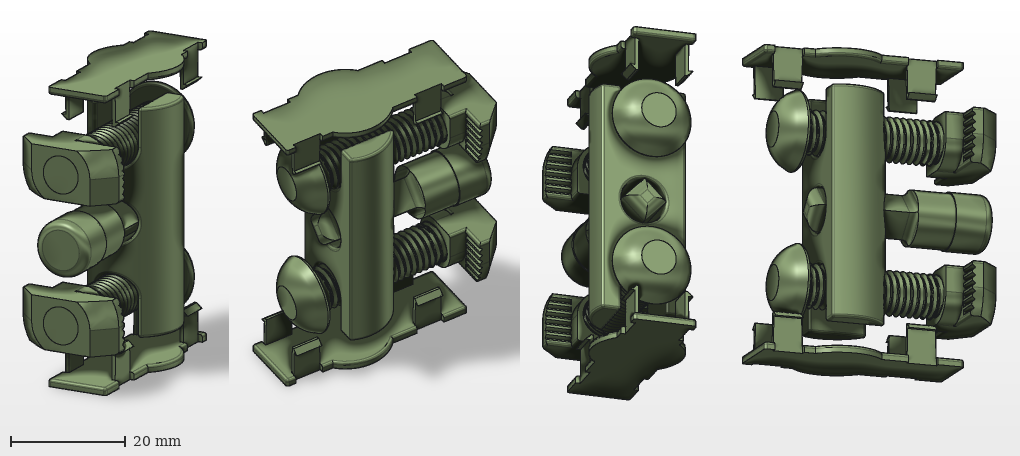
import cadquery as cq
import math


TOTAL_HEIGHT = 54.8
SCREW_OFFSET = 13.8
FRONT_Y = -27.45
EDGE_RADIUS = 0.5

BARREL_RADIUS = 8.45
BARREL_HEIGHT = 42.05
BARREL_BACK_Y = 3.7
CROSS_HOLE_RADIUS = 4.1

CAP_THICKNESS = 1.35
CAP_WIDTH = 11.5
CAP_FRONT_Y = -21.55
CAP_BACK_Y = 15.6
TAB_CENTERS_Y = (-13.9, 11.0)
TAB_WIDTH = 5.5
TAB_TIP_WIDTH = 5.15
TAB_OUTER_X = 4.95
TAB_THICKNESS = 0.65
TAB_LENGTH = 7.2
BARB_HEIGHT = 0.95
BARB_TIP_X = 5.75
BARB_END_X = 4.7

THREAD_RADIUS = 4.0
THREAD_ROOT_RADIUS = 3.35
THREAD_PITCH = 2 * THREAD_RADIUS * 1.25 / 8
THREAD_PHASE = 180.0
SCREW_TIP_RADIUS = 3.45
HEAD_SEAT_Y = 7.4
HEAD_TOP_Y = 12.05
HEAD_RADIUS = 7.25
HEAD_TOP_RADIUS = 3.2
HEAD_RIM = 0.65
HEAD_BULGE = (5.3, 10.8)

NUT_HEIGHT = 9.7
NUT_WIDTH = 19.0
NUT_BACK_Y = -18.45
WING_BACK_Y = -21.7
WING_CHAMFER = 3.7
SERRATION_COUNT = 6
SERRATION_PITCH = 1.4
SERRATION_WIDTH = 0.95
SERRATION_DEPTH = 0.55

SHANK_DIAGONAL = 8.0
SHANK_BACK_Y = 5.65
SHANK_END_RADIUS = 1.9
PIN_HEAD_BACK_Y = -13.35
PIN_HEAD_RADIUS = 5.0
PIN_COLLAR_Y = -20.35
PIN_COLLAR_RADIUS = 5.2
PIN_END_RADIUS = 1.55
FLARE_RADIUS = 1.3


def box(x_min, x_max, y_min, y_max, z_min, z_max):
    """Box given by its limits along each axis."""
    size = (x_max - x_min, y_max - y_min, z_max - z_min)
    return cq.Workplane("XY").box(*size, centered=False).translate((x_min, y_min, z_min))


def y_cylinder(radius, y_start, y_end):
    """Cylinder on the Y axis."""
    return cq.Workplane("XZ", origin=(0, y_start, 0)).circle(radius).extrude(y_start - y_end)


def make_barrel():
    """Truncated round bar with an open screw slot at each end and a pin hole in the middle."""
    far = 2 * BARREL_RADIUS
    half_height = BARREL_HEIGHT / 2
    barrel = cq.Workplane("XY").circle(BARREL_RADIUS).extrude(BARREL_HEIGHT)
    barrel = barrel.translate((0, 0, -half_height))
    barrel = barrel.cut(box(-far, far, BARREL_BACK_Y, far, -half_height, half_height))
    hole = y_cylinder(CROSS_HOLE_RADIUS, -far, far)
    barrel = barrel.cut(hole)
    for side in (1, -1):
        slot = hole.union(
            box(-CROSS_HOLE_RADIUS, CROSS_HOLE_RADIUS, -far, far, 0, BARREL_HEIGHT)
        )
        if side < 0:
            slot = slot.mirror("XY")
        barrel = barrel.cut(slot.translate((0, 0, side * SCREW_OFFSET)))
    return barrel.edges().fillet(EDGE_RADIUS)


def make_tab():
    """Tapered snap tab on the -X side, hanging from the outer face of an upper cap."""
    top = TOTAL_HEIGHT / 2
    tip = top - TAB_LENGTH
    barb_top = tip + BARB_HEIGHT
    inner_x = TAB_OUTER_X - TAB_THICKNESS
    section = [
        (-inner_x, top),
        (-TAB_OUTER_X, top),
        (-TAB_OUTER_X, barb_top),
        (-BARB_TIP_X, barb_top),
        (-BARB_END_X, tip),
        (-inner_x, tip),
    ]
    half_root = TAB_WIDTH / 2
    half_tip = TAB_TIP_WIDTH / 2
    face = [(-half_root, top), (half_root, top), (half_tip, tip), (-half_tip, tip)]
    strip = cq.Workplane("XZ").polyline(section).close().extrude(half_root, both=True)
    outline = cq.Workplane("YZ").polyline(face).close().extrude(-2 * TAB_OUTER_X)
    return strip.intersect(outline)


def make_upper_cap():
    """Plate that covers the upper end of the barrel, with four snap tabs."""
    top = TOTAL_HEIGHT / 2
    bottom = top - CAP_THICKNESS
    half_width = CAP_WIDTH / 2
    strip = box(-half_width, half_width, CAP_FRONT_Y, CAP_BACK_Y, bottom, top)
    strip = strip.edges("|Z").fillet(EDGE_RADIUS)
    disc = cq.Workplane("XY", origin=(0, 0, bottom)).circle(BARREL_RADIUS).extrude(CAP_THICKNESS)
    cap = strip.union(disc).faces("<Z").edges().fillet(EDGE_RADIUS)
    for center_y in TAB_CENTERS_Y:
        y_limits = (center_y - TAB_WIDTH / 2, center_y + TAB_WIDTH / 2)
        tab = make_tab().translate((0, center_y, 0))
        notch = box(-CAP_WIDTH, -TAB_OUTER_X, *y_limits, bottom, top)
        cap = cap.cut(notch).cut(notch.mirror("YZ"))
        cap = cap.union(tab).union(tab.mirror("YZ"))
    return cap


def make_thread():
    """Helical ridge around the Z axis, long enough to overrun both ends of the threaded length."""
    length = HEAD_SEAT_Y - NUT_BACK_Y + 2 * THREAD_PITCH
    overlap = 0.1
    root = THREAD_ROOT_RADIUS - overlap
    half_root = 0.48 * THREAD_PITCH
    ridge = [
        (root, -half_root),
        (root, half_root),
        (THREAD_RADIUS, 0),
    ]
    helix = cq.Wire.makeHelix(THREAD_PITCH, length, root)
    thread = cq.Workplane("XZ").polyline(ridge).close().sweep(cq.Workplane(obj=helix), isFrenet=True)
    thread = thread.rotate((0, 0, 0), (0, 0, 1), THREAD_PHASE)
    return thread.translate((0, 0, NUT_BACK_Y - THREAD_PITCH))


def make_screw():
    """Button-head screw on the Y axis, its plain tip flush with the front of the nut."""
    rim_y = HEAD_SEAT_Y + HEAD_RIM
    rim_middle = HEAD_RIM * math.sqrt(0.5)
    body = (
        cq.Workplane("XY")
        .moveTo(0, FRONT_Y)
        .lineTo(SCREW_TIP_RADIUS, FRONT_Y)
        .lineTo(SCREW_TIP_RADIUS, NUT_BACK_Y)
        .lineTo(THREAD_ROOT_RADIUS, NUT_BACK_Y)
        .lineTo(THREAD_ROOT_RADIUS, HEAD_SEAT_Y)
        .lineTo(HEAD_RADIUS - HEAD_RIM, HEAD_SEAT_Y)
        .threePointArc((HEAD_RADIUS - HEAD_RIM + rim_middle, rim_y - rim_middle), (HEAD_RADIUS, rim_y))
        .threePointArc(HEAD_BULGE, (HEAD_TOP_RADIUS, HEAD_TOP_Y))
        .lineTo(0, HEAD_TOP_Y)
        .close()
        .revolve(360, (0, 0), (0, 1))
    )
    thread = make_thread().rotate((0, 0, 0), (1, 0, 0), -90)
    threaded_length = y_cylinder(2 * THREAD_RADIUS, NUT_BACK_Y, HEAD_SEAT_Y)
    return body.union(thread.intersect(threaded_length))


def make_nut():
    """Hammer nut on the Y axis: two opposite quarters are round, so that it can turn in its slot."""
    half_height = NUT_HEIGHT / 2
    half_width = NUT_WIDTH / 2
    wing_profile = [
        (0, WING_BACK_Y),
        (half_width, WING_BACK_Y),
        (half_width, FRONT_Y + WING_CHAMFER),
        (half_width - WING_CHAMFER, FRONT_Y),
        (0, FRONT_Y),
    ]
    neck_profile = [
        (0, NUT_BACK_Y),
        (half_height, NUT_BACK_Y),
        (half_height, WING_BACK_Y - EDGE_RADIUS),
        (0, WING_BACK_Y - EDGE_RADIUS),
    ]
    quarter = box(0, half_width, FRONT_Y, NUT_BACK_Y, 0, half_height)
    round_wing = cq.Workplane("XY").polyline(wing_profile).close().revolve(360, (0, 0), (0, 1))
    round_wing = round_wing.intersect(quarter).edges("|X and >Y and >Z").fillet(EDGE_RADIUS)
    round_neck = y_cylinder(half_height, NUT_BACK_Y, WING_BACK_Y).intersect(quarter)
    square_wing = cq.Workplane("XY").polyline(wing_profile).close().extrude(-half_height)
    square_wing = square_wing.edges("(|X and >Y and <Z) or (|Y and >X and <Z)").fillet(EDGE_RADIUS)
    square_neck = cq.Workplane("XY").polyline(neck_profile).close().extrude(-half_height)
    square_neck = square_neck.edges("|Y and >X and <Z").fillet(EDGE_RADIUS)
    half_nut = round_wing.union(round_neck).union(square_wing).union(square_neck)
    nut = half_nut.union(half_nut.rotate((0, 0, 0), (0, 1, 0), 180))

    groove = (
        cq.Workplane("YZ", origin=(half_height, 0, 0))
        .polyline([
            (WING_BACK_Y, -SERRATION_WIDTH / 2),
            (WING_BACK_Y - SERRATION_DEPTH, 0),
            (WING_BACK_Y, SERRATION_WIDTH / 2),
        ])
        .close()
        .extrude(half_width)
    )
    for index in range(SERRATION_COUNT):
        height = (index - (SERRATION_COUNT - 1) / 2) * SERRATION_PITCH
        right_groove = groove.translate((0, 0, height))
        nut = nut.cut(right_groove).cut(right_groove.mirror("YZ"))
    return nut.cut(y_cylinder(SCREW_TIP_RADIUS, FRONT_Y, NUT_BACK_Y))


def make_pin():
    """Round-headed pin with a square shank that flares into the head."""
    half_side = SHANK_DIAGONAL / math.sqrt(8)
    flare_start = PIN_HEAD_BACK_Y + FLARE_RADIUS
    flare_middle = FLARE_RADIUS * (1 - math.sqrt(0.5))
    half_flared = half_side + FLARE_RADIUS
    slab = (
        cq.Workplane("XY")
        .moveTo(-half_side, SHANK_BACK_Y)
        .lineTo(half_side, SHANK_BACK_Y)
        .lineTo(half_side, flare_start)
        .threePointArc(
            (half_side + flare_middle, PIN_HEAD_BACK_Y + flare_middle),
            (half_flared, PIN_HEAD_BACK_Y),
        )
        .lineTo(-half_flared, PIN_HEAD_BACK_Y)
        .threePointArc(
            (-half_side - flare_middle, PIN_HEAD_BACK_Y + flare_middle),
            (-half_side, flare_start),
        )
        .close()
        .extrude(SHANK_DIAGONAL, both=True)
    )
    slab = slab.edges("|Z and >Y").fillet(SHANK_END_RADIUS)
    shank = slab.rotate((0, 0, 0), (0, 1, 0), 45).intersect(slab.rotate((0, 0, 0), (0, 1, 0), -45))
    envelope = y_cylinder(PIN_HEAD_RADIUS, PIN_HEAD_BACK_Y, SHANK_BACK_Y)
    collar = y_cylinder(PIN_COLLAR_RADIUS, FRONT_Y, PIN_COLLAR_Y).faces("<Y").edges()
    collar = collar.fillet(PIN_END_RADIUS)
    head = y_cylinder(PIN_HEAD_RADIUS, PIN_COLLAR_Y, PIN_HEAD_BACK_Y)
    return shank.intersect(envelope).union(head).union(collar)


barrel = make_barrel()
pin = make_pin()
upper_cap = make_upper_cap()
caps = [upper_cap, upper_cap.mirror("XY")]
screws = []
nuts = []
for height in (SCREW_OFFSET, -SCREW_OFFSET):
    screws.append(make_screw().translate((0, 0, height)))
    nuts.append(make_nut().translate((0, 0, height)))

bodies = [barrel, pin, *caps, *screws, *nuts]
result = cq.Compound.makeCompound([body.val() for body in bodies])